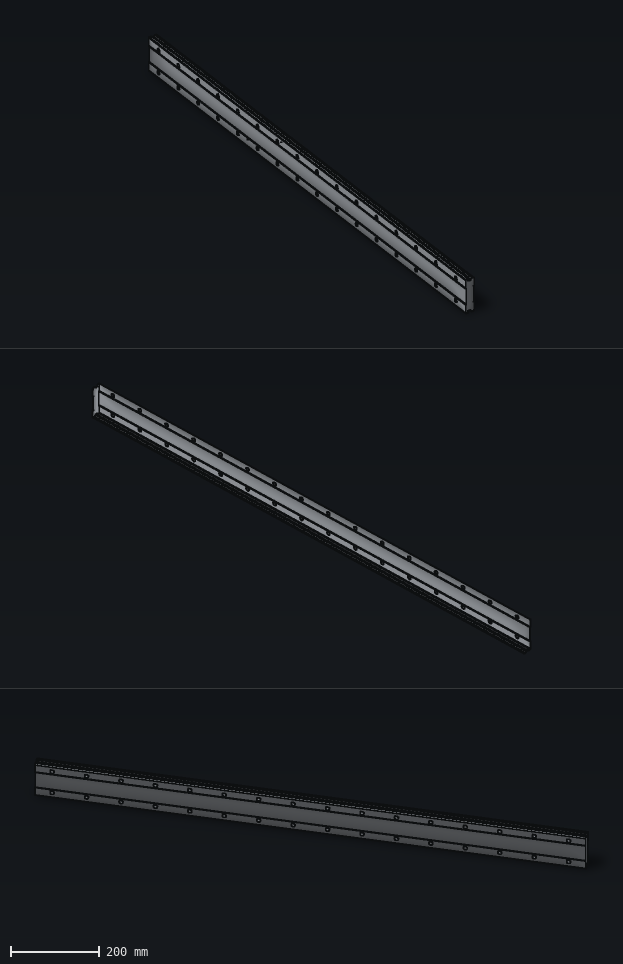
import cadquery as cq

length = 1280.0
thickness = 24.0
height = 90.0

recess_height = 42.0
recess_depth = 1.9

groove_width = 6.0
groove_depth = 5.0
groove_offset = -1.0

back_lip_bevel = 3.2
front_lip_bevel = 1.0

hole_count = 16
hole_pitch = length / hole_count
row_spacing = 59.0
hole_diameter = 9.0

half_thickness = thickness / 2
half_height = height / 2
groove_back = groove_offset + groove_width / 2
groove_front = groove_offset - groove_width / 2


def upper_half():
    """Upper half of the rail, extruded along X from its cross-section."""
    recess_face = half_thickness - recess_depth
    recess_top = recess_height / 2
    groove_floor = half_height - groove_depth
    back_shoulder = half_height - back_lip_bevel
    outline = [
        (-recess_face, 0),
        (-recess_face, recess_top),
        (-half_thickness, recess_top),
        (-half_thickness, half_height - front_lip_bevel),
        (-half_thickness + front_lip_bevel, half_height),
        (groove_front, half_height),
        (groove_front, groove_floor),
        (groove_back, groove_floor),
        (groove_back, back_shoulder),
        (groove_back + back_lip_bevel, half_height),
        (half_thickness - back_lip_bevel, half_height),
        (half_thickness, back_shoulder),
        (half_thickness, recess_top),
        (recess_face, recess_top),
        (recess_face, 0),
    ]
    return cq.Workplane("YZ").polyline(outline).close().extrude(length / 2, both=True)


def mounting_holes():
    """Cutters for both rows of holes, running through the thickness."""
    return (
        cq.Workplane("XZ")
        .rarray(hole_pitch, row_spacing, hole_count, 2)
        .circle(hole_diameter / 2)
        .extrude(thickness, both=True)
    )


upper = upper_half()
rail = upper.union(upper.mirror("XY")).clean()
result = rail.cut(mounting_holes())